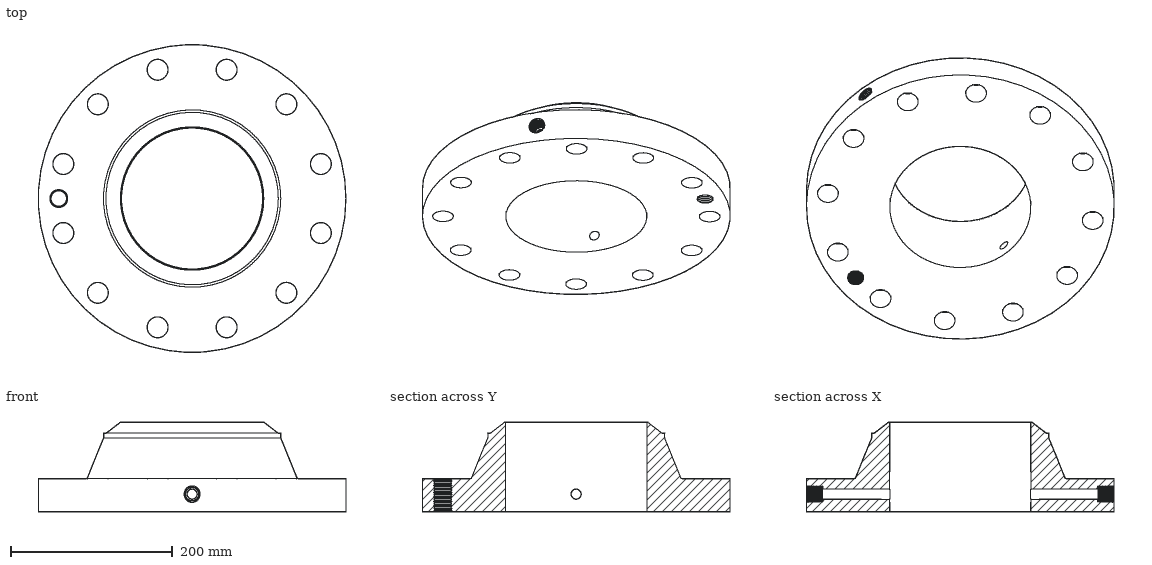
import cadquery as cq
import math

flange_diameter = 381.0
flange_thickness = 41.0
bolt_circle_radius = 165.0
bolt_hole_diameter = 25.5
bolt_count = 12

total_height = 111.3
bore_radius = 87.2
hub_base_radius = 130.3
hub_fillet = 3.0
neck_radius = 109.7
neck_bottom = 92.0
land_width = 1.5
bevel_width = 16.8
bevel_angle = 37.5
lip_width = 1.0
shoulder_height = 97.5

jack_major_radius = 11.0
jack_minor_radius = 9.5
jack_pitch = 2.82

tap_height = 22.0
tap_drill_radius = 6.0
tap_major_radius = 10.3
tap_minor_radius = 8.8
tap_pitch = 1.83
tap_thread_length = 20.0
tap_thread_taper = 1 / 32

flange_radius = flange_diameter / 2


def make_body():
    """Flange and hub with the weld bevel, its lip and shoulder, revolved about Z."""
    land_radius = bore_radius + land_width
    bevel_radius = land_radius + bevel_width
    bevel_bottom = total_height - bevel_width * math.tan(math.radians(bevel_angle))
    profile = [
        (bore_radius, 0),
        (flange_radius, 0),
        (flange_radius, flange_thickness),
        (hub_base_radius, flange_thickness),
        (neck_radius, neck_bottom),
        (neck_radius, shoulder_height),
        (bevel_radius + lip_width, shoulder_height),
        (bevel_radius, bevel_bottom),
        (land_radius, total_height),
        (bore_radius, total_height),
    ]
    body = cq.Workplane("XZ").polyline(profile).close().revolve(360, (0, 0), (0, 1))
    hub_foot = cq.selectors.BoxSelector(
        (-flange_radius, -flange_radius, flange_thickness - hub_fillet / 2),
        (flange_radius, flange_radius, flange_thickness + hub_fillet / 2),
    )
    foot_edge = body.edges(hub_foot).edges(cq.selectors.RadiusNthSelector(0))
    return foot_edge.fillet(hub_fillet)


def thread_cutter(major_radius, minor_radius, pitch, length, taper=0):
    """Cutter along +Z from the origin with a V ridge for every thread turn."""
    turns = math.ceil(length / pitch)
    outline = cq.Workplane("XZ").lineTo(major_radius, 0)
    for turn in range(turns):
        crest_depth = (turn + 0.5) * pitch
        root_depth = (turn + 1) * pitch
        outline = outline.lineTo(minor_radius - taper * crest_depth, crest_depth)
        outline = outline.lineTo(major_radius - taper * root_depth, root_depth)
    outline = outline.lineTo(0, turns * pitch).close()
    return outline.revolve(360, (0, 0), (0, 1))


def bolt_holes():
    half_step = 180 / bolt_count
    return (
        cq.Workplane("XY")
        .polarArray(bolt_circle_radius, half_step, 360, bolt_count)
        .circle(bolt_hole_diameter / 2)
        .extrude(flange_thickness)
    )


def jack_screw_hole():
    cutter = thread_cutter(jack_major_radius, jack_minor_radius, jack_pitch, flange_thickness)
    return cutter.rotate((0, 0, 0), (1, 0, 0), 180).translate((-bolt_circle_radius, 0, flange_thickness))


def pressure_taps():
    """Drilled passage along Y with a threaded mouth at each end."""
    passages = (
        cq.Workplane("XZ")
        .center(0, tap_height)
        .circle(tap_drill_radius)
        .extrude(flange_radius, both=True)
    )
    thread = thread_cutter(
        tap_major_radius, tap_minor_radius, tap_pitch, tap_thread_length, tap_thread_taper
    )
    front_mouth = thread.rotate((0, 0, 0), (1, 0, 0), -90).translate((0, -flange_radius, tap_height))
    back_mouth = front_mouth.mirror("XZ")
    return passages.union(front_mouth).union(back_mouth)


result = make_body().cut(bolt_holes()).cut(jack_screw_hole()).cut(pressure_taps())